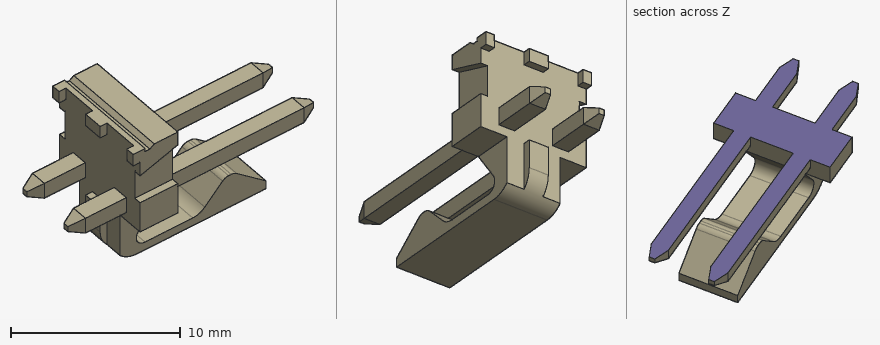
import cadquery as cq


pin_pitch = 3.96
pin_size = 1.16
pin_tip_size = 0.39
pin_taper = 1.01
pin_length = 18.29
pin_front_y = -4.05

body_width = 7.77
body_depth = 2.81
body_top_z = 5.12
body_bottom_z = -1.19

groove_depth = 0.23
groove_front_y = 0.38
groove_floor_back_y = 0.73
groove_back_y = 1.06

notch_depth = 0.51
notch_bottom_z = 1.09
notch_top_front_z = 3.19
notch_top_back_z = 4.11

standoff = 0.51
tab_height = 0.89
side_tab_width = 0.62
center_width = 1.40

arm_width = 3.92
arm_thickness = 0.61
arm_bottom_z = body_top_z - 10.01
arm_floor_z = arm_bottom_z + arm_thickness
arm_end_y = 10.86
heel_radius = 1.78
leg_foot_y = 0.59
leg_radius = 0.65
hook_peak_z = -2.40
hook_peak_back_y = 8.49
hook_peak_front_y = 7.81
hook_peak_radius = 0.635
hook_foot_y = hook_peak_front_y - (hook_peak_z - arm_floor_z)
hook_foot_radius = 1.27


def box(x_min, x_max, y_min, y_max, z_min, z_max):
    """Box between two limits on each axis."""
    return (
        cq.Workplane("XY")
        .box(x_max - x_min, y_max - y_min, z_max - z_min, centered=False)
        .translate((x_min, y_min, z_min))
    )


def side_prism(points, x_min, x_max):
    """Polygon of (y, z) points extruded along X between two limits."""
    return (
        cq.Workplane("YZ", origin=(x_min, 0, 0))
        .polyline(points)
        .close()
        .extrude(x_max - x_min)
    )


def round_edge(solid, y, z, radius):
    """Fillet the edge parallel to X that passes through (y, z)."""
    return solid.edges(cq.selectors.NearestToPointSelector((0, y, z))).fillet(radius)


def make_housing():
    half_width = body_width / 2
    profile = [
        (0, body_bottom_z),
        (body_depth, body_bottom_z),
        (body_depth, body_top_z),
        (groove_back_y, body_top_z),
        (groove_floor_back_y, body_top_z - groove_depth),
        (groove_front_y, body_top_z - groove_depth),
        (groove_front_y, body_top_z),
        (0, body_top_z),
    ]
    notch = [
        (0, notch_bottom_z),
        (body_depth, notch_bottom_z),
        (body_depth, notch_top_back_z),
        (0, notch_top_front_z),
    ]
    housing = side_prism(profile, -half_width, half_width)
    housing = housing.cut(side_prism(notch, -half_width, -half_width + notch_depth))
    return housing.cut(side_prism(notch, half_width - notch_depth, half_width))


def make_tabs():
    half_width = body_width / 2
    spans = [
        (-half_width, -half_width + side_tab_width),
        (-center_width / 2, center_width / 2),
        (half_width - side_tab_width, half_width),
    ]
    tabs = cq.Workplane("XY")
    for x_min, x_max in spans:
        tabs = tabs.add(box(x_min, x_max, -standoff, 0, body_top_z - tab_height, body_top_z))
    return tabs.combine()


def make_arm():
    half_width = arm_width / 2
    profile = [
        (-standoff, body_bottom_z),
        (body_depth, body_bottom_z),
        (leg_foot_y, arm_floor_z),
        (hook_foot_y, arm_floor_z),
        (hook_peak_front_y, hook_peak_z),
        (hook_peak_back_y, hook_peak_z),
        (arm_end_y, arm_floor_z),
        (arm_end_y, arm_bottom_z),
        (-standoff, arm_bottom_z),
    ]
    arm = side_prism(profile, -half_width, half_width)
    arm = round_edge(arm, -standoff, arm_bottom_z, heel_radius)
    arm = round_edge(arm, leg_foot_y, arm_floor_z, leg_radius)
    arm = round_edge(arm, hook_foot_y, arm_floor_z, hook_foot_radius)
    arm = round_edge(arm, hook_peak_front_y, hook_peak_z, hook_peak_radius)
    arm = round_edge(arm, hook_peak_back_y, hook_peak_z, hook_peak_radius)
    for x_min, x_max in [(-half_width, -center_width / 2), (center_width / 2, half_width)]:
        arm = arm.cut(box(x_min, x_max, -standoff, 0, arm_bottom_z, body_bottom_z))
    return arm


def make_taper(base_y, tip_y):
    """Four-sided pin point narrowing from base_y to tip_y."""
    return (
        cq.Workplane("XZ", origin=(0, base_y, 0))
        .rect(pin_size, pin_size)
        .workplane(offset=base_y - tip_y)
        .rect(pin_tip_size, pin_tip_size)
        .loft(ruled=True)
    )


def make_pin(x):
    half_size = pin_size / 2
    pin_back_y = pin_front_y + pin_length
    shank_front_y = pin_front_y + pin_taper
    shank_back_y = pin_back_y - pin_taper
    pin = box(-half_size, half_size, shank_front_y, shank_back_y, -half_size, half_size)
    pin = pin.union(make_taper(shank_front_y, pin_front_y))
    pin = pin.union(make_taper(shank_back_y, pin_back_y))
    return pin.translate((x, 0, 0))


result = make_housing().union(make_tabs()).union(make_arm())
for pin_x in (-pin_pitch / 2, pin_pitch / 2):
    result = result.union(make_pin(pin_x))